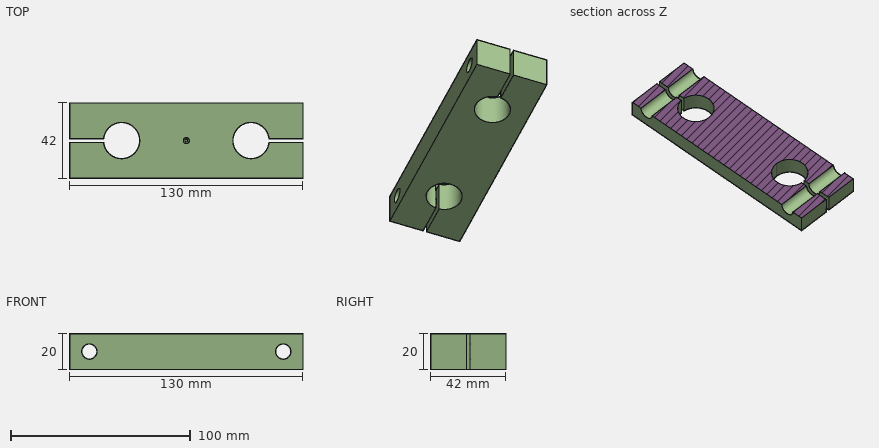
import cadquery as cq
import math

length = 130.0
width = 42.0
height = 20.0

bore_diameter = 20.0
bore_offset = 36.0
slit_width = 2.0

screw_hole_diameter = 8.3
screw_end_distance = 11.0
screw_offset = length / 2 - screw_end_distance

pilot_diameter = 1.5
countersink_diameter = 3.4
countersink_angle = 60
pilot_length = 2.0
pilot_tip_angle = 120

block = cq.Workplane("XY").box(length, width, height)


def bore_with_slit(side):
    """Cutter for one bore and its slit; side is -1 or +1 along X."""
    bore = (
        cq.Workplane("XY")
        .center(side * bore_offset, 0)
        .circle(bore_diameter / 2)
        .extrude(height, both=True)
    )
    slit_length = length / 2 - bore_offset
    slit = (
        cq.Workplane("XY")
        .center(side * (bore_offset + slit_length / 2), 0)
        .rect(slit_length, slit_width)
        .extrude(height, both=True)
    )
    return bore.union(slit)


def screw_hole(side):
    """Cutter for one screw hole through the full width."""
    return (
        cq.Workplane("XZ")
        .center(side * screw_offset, 0)
        .circle(screw_hole_diameter / 2)
        .extrude(width, both=True)
    )


def cone_depth(radius_change, full_angle):
    """Axial length over which a cone changes its radius by the given amount."""
    return radius_change / math.tan(math.radians(full_angle / 2))


def center_drill_hole():
    """Cutter for the countersink, its pilot hole and the conical pilot tip."""
    pilot_radius = pilot_diameter / 2
    countersink_radius = countersink_diameter / 2
    top = height / 2
    countersink_bottom = top - cone_depth(countersink_radius - pilot_radius, countersink_angle)
    pilot_bottom = countersink_bottom - pilot_length
    tip = pilot_bottom - cone_depth(pilot_radius, pilot_tip_angle)
    return (
        cq.Workplane("XZ")
        .moveTo(0, top)
        .lineTo(countersink_radius, top)
        .lineTo(pilot_radius, countersink_bottom)
        .lineTo(pilot_radius, pilot_bottom)
        .lineTo(0, tip)
        .close()
        .revolve(360, (0, 0, 0), (0, 1, 0))
    )


for side in (-1, 1):
    block = block.cut(bore_with_slit(side)).cut(screw_hole(side))

result = block.cut(center_drill_hole())